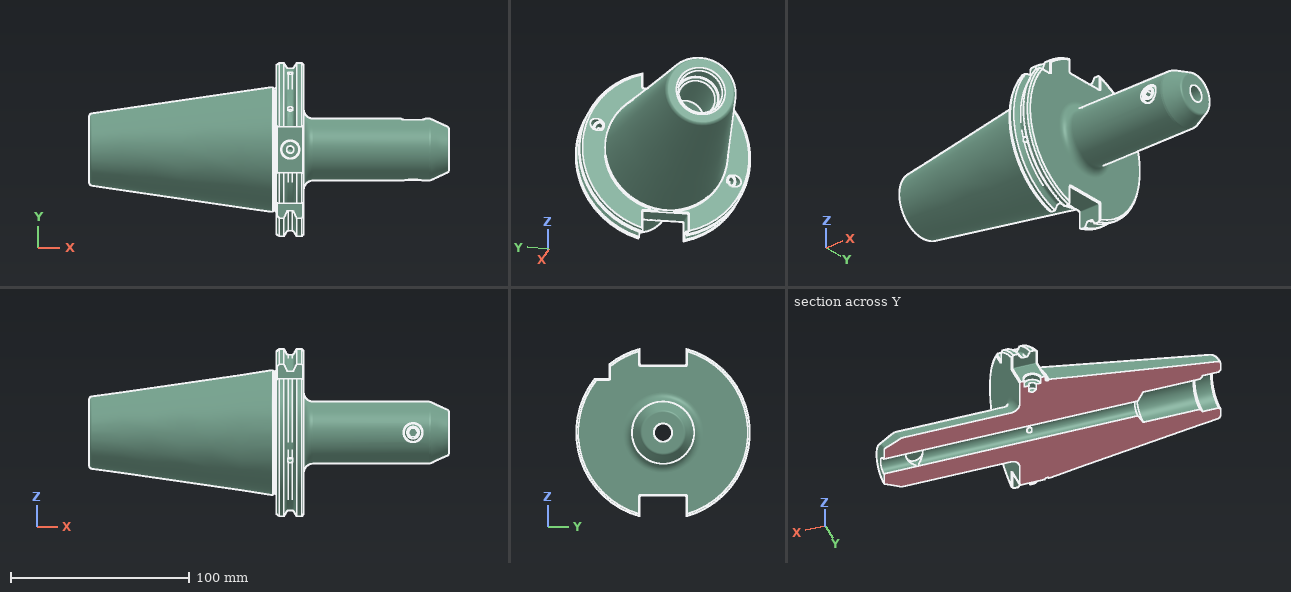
import cadquery as cq
import math

TOTAL_LENGTH = 201.8

TAPER_SLOPE = 7 / 48
TAPER_LENGTH = 102.0
TAPER_BIG_R = 70.0 / 2
TAPER_SMALL_R = TAPER_BIG_R - TAPER_LENGTH * TAPER_SLOPE
TAPER_END_FILLET = 2.0

COLLAR_LENGTH = 0.8
RELIEF_DEPTH = 0.6
RELIEF_R = TAPER_BIG_R - RELIEF_DEPTH

FLANGE_START = 105.0
FLANGE_END = 120.5
FLANGE_R = 97.5 / 2
FLANGE_FRONT_CHAMFER_LENGTH = 1.8
FLANGE_FRONT_CHAMFER_HEIGHT = 1.2
FLANGE_REAR_CHAMFER = 1.2
GROOVE_X = 112.8
GROOVE_FLOOR_R = 45.5
GROOVE_FLOOR_WIDTH = 3.5
GROOVE_WALL_ANGLE = math.radians(30)
GROOVE_FLOOR_FILLET = 1.0

SLOT_WIDTH = 25.8
TOP_SLOT_FLOOR_Z = 37.7
BOTTOM_SLOT_FLOOR_Z = -35.3
NOTCH_Y = -30.0
NOTCH_Z = 30.0
CUT_CORNER_FILLET = 0.6
CUT_EDGE_CHAMFER = 0.6

SLOT_RECESS_D = 9.7
SLOT_RECESS_CHAMFER = 0.5
SLOT_RECESS_DEPTH = 4.0
SLOT_HOLE_D = 4.0
SLOT_HOLE_DEPTH = 4.0

COOLANT_ANGLE = 20
COOLANT_FACE_R = 41.5
COOLANT_D = 6.7
COOLANT_TILT = 35
RADIAL_HOLE_D = 3.0
COOLANT_D_INNER = 4.8
COOLANT_MOUTH_DEPTH = 2.5

GROOVE_HOLE_ANGLE = 60
GROOVE_HOLE_D = 2.8
GROOVE_HOLE_DEPTH = 3.0

SHANK_R = 35.0 / 2
SHANK_FILLET = 5.0
NOSE_START = 191.0
NOSE_END_R = 12.5
NOSE_SHOULDER_FILLET = 2.8
NOSE_TIP_FILLET = 1.6

TOOL_BORE_R = 5.0
DRAWBAR_MOUTH_R = 14.0
DRAWBAR_MOUTH_DEPTH = 1.2
DRAWBAR_PILOT_R = 12.5
DRAWBAR_PILOT_END = 11.0
DRAWBAR_THREAD_R = 12.0
DRAWBAR_CORE_R = 10.5
DRAWBAR_CORE_END = 46.5
DRILL_POINT_HALF_ANGLE = math.radians(59)

SCREW_X = 181.5
SCREW_D = 10.0
SCREW_TOP_Y = -17.1
SCREW_TIP_Y = -TOOL_BORE_R
SCREW_CHAMFER = 1.6
SOCKET_ACROSS_FLATS = 4.8
SOCKET_DEPTH = 5.0
SCREW_MOUTH_D = 10.9
SCREW_MOUTH_FLOOR_Y = -16.0

BALANCE_D = 14.1
BALANCE_FLOOR_Y = 16.7


def revolve_about_x(profile):
    return profile.close().revolve(360, (0, 0, 0), (1, 0, 0))


def make_blank():
    """Taper, flange, shank and nose as one turned piece, without its bores."""
    collar_end = TAPER_LENGTH + COLLAR_LENGTH
    profile = (
        cq.Workplane("XY")
        .moveTo(0, 0)
        .lineTo(0, TAPER_SMALL_R)
        .lineTo(TAPER_LENGTH, TAPER_BIG_R)
        .lineTo(collar_end, TAPER_BIG_R)
        .lineTo(collar_end + RELIEF_DEPTH, RELIEF_R)
        .lineTo(FLANGE_START - RELIEF_DEPTH, RELIEF_R)
        .radiusArc((FLANGE_START, TAPER_BIG_R), -RELIEF_DEPTH)
        .lineTo(FLANGE_START, FLANGE_R - FLANGE_FRONT_CHAMFER_HEIGHT)
        .lineTo(FLANGE_START + FLANGE_FRONT_CHAMFER_LENGTH, FLANGE_R)
        .lineTo(FLANGE_END - FLANGE_REAR_CHAMFER, FLANGE_R)
        .lineTo(FLANGE_END, FLANGE_R - FLANGE_REAR_CHAMFER)
        .lineTo(FLANGE_END, SHANK_R + SHANK_FILLET)
        .radiusArc((FLANGE_END + SHANK_FILLET, SHANK_R), -SHANK_FILLET)
        .lineTo(NOSE_START, SHANK_R)
        .lineTo(TOTAL_LENGTH, NOSE_END_R)
        .lineTo(TOTAL_LENGTH, 0)
    )
    blank = revolve_about_x(profile)
    blank = blank.faces("<X").edges().fillet(TAPER_END_FILLET)
    blank = blank.faces(">X").edges().fillet(NOSE_TIP_FILLET)
    shoulder = cq.selectors.BoxSelector(
        (NOSE_START - 0.2, -FLANGE_R, -FLANGE_R), (NOSE_START + 0.2, FLANGE_R, FLANGE_R), boundingbox=True
    )
    return blank.edges(shoulder).edges("%CIRCLE").fillet(NOSE_SHOULDER_FILLET)


def make_groove():
    """Ring removed from the flange rim, with sloping walls and a rounded floor."""
    half_floor = GROOVE_FLOOR_WIDTH / 2
    outer_r = FLANGE_R + 2
    half_top = half_floor + (outer_r - GROOVE_FLOOR_R) * math.tan(GROOVE_WALL_ANGLE)
    ring = revolve_about_x(
        cq.Workplane("XY")
        .moveTo(GROOVE_X - half_top, outer_r)
        .lineTo(GROOVE_X - half_floor, GROOVE_FLOOR_R)
        .lineTo(GROOVE_X + half_floor, GROOVE_FLOOR_R)
        .lineTo(GROOVE_X + half_top, outer_r)
    )
    floor_edges = cq.selectors.RadiusNthSelector(0)
    return ring.edges("%CIRCLE").edges(floor_edges).fillet(GROOVE_FLOOR_FILLET)


def make_axial_bores():
    """Stepped drawbar hole from the taper end, running into the tool bore."""
    cone_end = DRAWBAR_CORE_END + (DRAWBAR_CORE_R - TOOL_BORE_R) / math.tan(DRILL_POINT_HALF_ANGLE)
    profile = (
        cq.Workplane("XY")
        .moveTo(0, 0)
        .lineTo(0, DRAWBAR_MOUTH_R)
        .lineTo(DRAWBAR_MOUTH_DEPTH, DRAWBAR_PILOT_R)
        .lineTo(DRAWBAR_PILOT_END, DRAWBAR_PILOT_R)
        .lineTo(DRAWBAR_PILOT_END, DRAWBAR_THREAD_R)
        .lineTo(DRAWBAR_PILOT_END + DRAWBAR_THREAD_R - DRAWBAR_CORE_R, DRAWBAR_CORE_R)
        .lineTo(DRAWBAR_CORE_END, DRAWBAR_CORE_R)
        .lineTo(cone_end, TOOL_BORE_R)
        .lineTo(TOTAL_LENGTH, TOOL_BORE_R)
        .lineTo(TOTAL_LENGTH, 0)
    )
    return revolve_about_x(profile)


def flange_box(y_min, y_max, z_min, z_max):
    """Box as thick as the flange, for cutting into its rim."""
    return cq.Workplane("XY").box(
        FLANGE_END - FLANGE_START, y_max - y_min, z_max - z_min, centered=False
    ).translate((FLANGE_START, y_min, z_min))


def rod(start, direction, diameter, length):
    return cq.Workplane(
        cq.Solid.makeCylinder(diameter / 2, length, cq.Vector(*start), cq.Vector(*direction))
    )


def thin_slice_at(x):
    """Selector for edges that lie in the plane at this X."""
    reach = FLANGE_R + 2
    return cq.selectors.BoxSelector((x - 0.02, -reach, -reach), (x + 0.02, reach, reach), boundingbox=True)


def cut_flange_rim(body):
    """Cut the drive slots and the notch, round their corners and chamfer their face edges."""
    half_slot = SLOT_WIDTH / 2
    top_slot = flange_box(-half_slot, half_slot, TOP_SLOT_FLOOR_Z, FLANGE_R)
    bottom_slot = flange_box(-half_slot, half_slot, -FLANGE_R, BOTTOM_SLOT_FLOOR_Z)
    notch = flange_box(-FLANGE_R, NOTCH_Y, NOTCH_Z, FLANGE_R)
    cuts = [
        top_slot.edges("|X and <Z").fillet(CUT_CORNER_FILLET),
        bottom_slot.edges("|X and >Z").fillet(CUT_CORNER_FILLET),
        notch.edges("|X and >Y and <Z").fillet(CUT_CORNER_FILLET),
    ]
    for cut in cuts:
        body = body.cut(cut)
    for face_x in (FLANGE_START, FLANGE_END):
        body = body.edges(thin_slice_at(face_x)).edges("%LINE").chamfer(CUT_EDGE_CHAMFER)
    return body.cut(make_groove())


def cut_slot_hole(body):
    """Stepped hole with a chamfered mouth and a drill point."""
    recess_r = SLOT_RECESS_D / 2
    hole_r = SLOT_HOLE_D / 2
    hole_end = SLOT_RECESS_DEPTH + SLOT_HOLE_DEPTH
    profile = (
        cq.Workplane("XZ", origin=(GROOVE_X, 0, TOP_SLOT_FLOOR_Z))
        .moveTo(0, 0)
        .lineTo(recess_r + SLOT_RECESS_CHAMFER, 0)
        .lineTo(recess_r, -SLOT_RECESS_CHAMFER)
        .lineTo(recess_r, -SLOT_RECESS_DEPTH)
        .lineTo(hole_r, -SLOT_RECESS_DEPTH)
        .lineTo(hole_r, -hole_end)
        .lineTo(0, -hole_end - hole_r / math.tan(DRILL_POINT_HALF_ANGLE))
        .close()
    )
    return body.cut(profile.revolve(360, (0, 0, 0), (0, 1, 0)))


def cut_groove_hole(body):
    hole = rod((GROOVE_X, GROOVE_FLOOR_R - GROOVE_HOLE_DEPTH, 0), (0, 1, 0), GROOVE_HOLE_D, FLANGE_R)
    return body.cut(hole.rotate((0, 0, 0), (1, 0, 0), GROOVE_HOLE_ANGLE))


def make_coolant_pair():
    """Slanted and radial hole on the +Y side; both run in the plane of the X and Y axes."""
    tilt = math.radians(COOLANT_TILT)
    direction = (math.cos(tilt), -math.sin(tilt), 0)
    lead_in = COOLANT_D
    start = (FLANGE_START - lead_in * direction[0], COOLANT_FACE_R - lead_in * direction[1], 0)
    depth = (GROOVE_X - FLANGE_START) / math.cos(tilt)
    slanted = rod(start, direction, COOLANT_D, lead_in + COOLANT_MOUTH_DEPTH)
    slanted = slanted.union(rod(start, direction, COOLANT_D_INNER, lead_in + depth))
    radial = rod((GROOVE_X, 0, 0), (0, 1, 0), RADIAL_HOLE_D, FLANGE_R)
    return slanted.union(radial)


def cut_coolant_holes(body):
    pair = make_coolant_pair()
    for turn in (COOLANT_ANGLE, COOLANT_ANGLE + 180):
        body = body.cut(pair.rotate((0, 0, 0), (1, 0, 0), turn))
    return body


def cut_screw_seat(body):
    body = body.cut(rod((SCREW_X, 0, 0), (0, -1, 0), SCREW_D, SHANK_R))
    body = body.cut(rod((SCREW_X, SCREW_MOUTH_FLOOR_Y, 0), (0, -1, 0), SCREW_MOUTH_D, SHANK_R))
    return body.cut(rod((SCREW_X, BALANCE_FLOOR_Y, 0), (0, 1, 0), BALANCE_D, SHANK_R))


def make_holder():
    body = make_blank()
    body = cut_flange_rim(body)
    body = cut_slot_hole(body)
    body = cut_coolant_holes(body)
    body = cut_groove_hole(body)
    body = cut_screw_seat(body)
    return body.cut(make_axial_bores())


def make_clamp_screw():
    screw = rod((SCREW_X, SCREW_TIP_Y, 0), (0, -1, 0), SCREW_D, SCREW_TIP_Y - SCREW_TOP_Y)
    screw = screw.faces("<Y").edges().chamfer(SCREW_CHAMFER)
    across_corners = SOCKET_ACROSS_FLATS / math.cos(math.radians(30))
    socket = (
        cq.Workplane("XZ", origin=(SCREW_X, SCREW_TOP_Y, 0))
        .polygon(6, across_corners)
        .extrude(-SOCKET_DEPTH)
    )
    return screw.cut(socket)


holder = make_holder()
clamp_screw = make_clamp_screw()
result = cq.Compound.makeCompound([holder.val(), clamp_screw.val()])